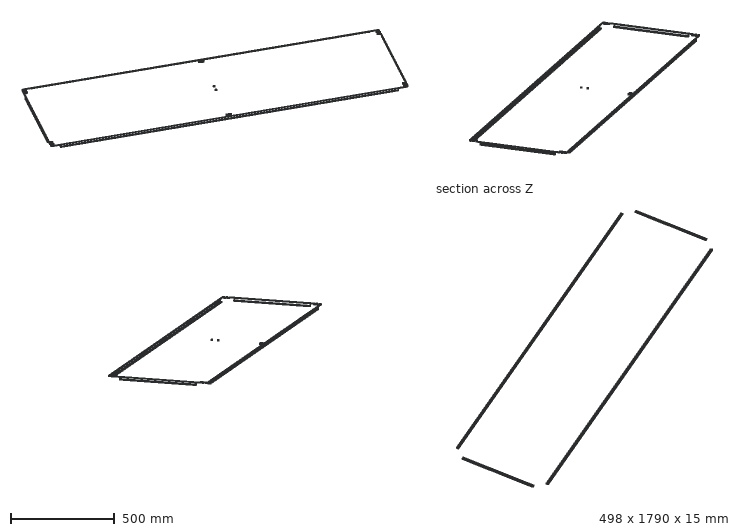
import cadquery as cq

width = 498.0
length = 1790.0
height = 15.0
sheet = 2.0

end_flange_length = 383.0
side_flange_length = 1692.0
lip_width = 9.0

corner_radius = 9.0
notch_width = 10.0
notch_depth = 17.0
outer_notch_inset = 13.0
notch_spacing = 17.0

slot_length = 25.0
slot_width = 10.0
slot_inset = 15.0
hole_diameter = 5.0
hole_spacing = 32.0


def make_plate():
    """Flat sheet with rounded corners at the top of the part."""
    return (
        cq.Workplane("XY")
        .workplane(offset=height - sheet)
        .rect(width, length)
        .extrude(sheet)
        .edges("|Z")
        .fillet(corner_radius)
    )


def make_flange(edge_distance, flange_length):
    """L-shaped flange running along X, with its outer face at y = -edge_distance."""
    section = [
        (-edge_distance, 0),
        (-edge_distance + lip_width, 0),
        (-edge_distance + lip_width, sheet),
        (-edge_distance + sheet, sheet),
        (-edge_distance + sheet, height),
        (-edge_distance, height),
    ]
    return (
        cq.Workplane("YZ")
        .workplane(offset=-flange_length / 2)
        .polyline(section)
        .close()
        .extrude(flange_length)
    )


def make_corner_notches():
    """Round-bottomed notches, open at the short ends, two at each corner."""
    points = [
        (side * (width / 2 - inset), end * length / 2)
        for inset in (outer_notch_inset, outer_notch_inset + notch_spacing)
        for side in (-1, 1)
        for end in (-1, 1)
    ]
    return (
        cq.Workplane("XY")
        .pushPoints(points)
        .slot2D(2 * notch_depth, notch_width, 90)
        .extrude(height)
    )


def make_side_slots():
    """Slots halfway along the long sides, parallel to them."""
    slot_x = width / 2 - slot_inset
    return (
        cq.Workplane("XY")
        .pushPoints([(-slot_x, 0), (slot_x, 0)])
        .slot2D(slot_length, slot_width, 90)
        .extrude(height)
    )


def make_centre_holes():
    """Pair of small round holes at the middle of the plate."""
    return (
        cq.Workplane("XY")
        .pushPoints([(-hole_spacing / 2, 0), (hole_spacing / 2, 0)])
        .circle(hole_diameter / 2)
        .extrude(height)
    )


plate = make_plate().cut(make_corner_notches()).cut(make_side_slots()).cut(make_centre_holes())

flange_layout = [
    (0, length / 2, end_flange_length),
    (90, width / 2, side_flange_length),
    (180, length / 2, end_flange_length),
    (270, width / 2, side_flange_length),
]

result = plate
for angle, edge_distance, flange_length in flange_layout:
    flange = make_flange(edge_distance, flange_length)
    result = result.union(flange.rotate((0, 0, 0), (0, 0, 1), angle))